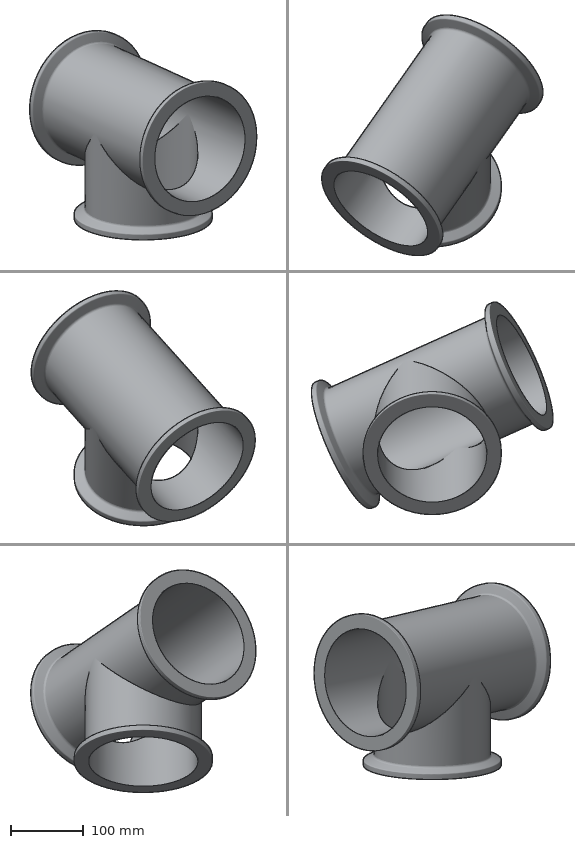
import math

import cadquery as cq

bore_diameter = 150.0
pipe_diameter = 160.0
flange_diameter = 190.0
arm_length = 138.0
rim_corner_height = 8.0
cone_angle = 20.0
rim_round = 2.0
neck_round = 3.0
face_edge_round = 0.5

pipe_radius = pipe_diameter / 2
flange_radius = flange_diameter / 2
cone_height = (flange_radius - pipe_radius) * math.tan(math.radians(cone_angle))
rim_corner = arm_length - rim_corner_height
neck_corner = rim_corner - cone_height

LEFT = cq.Vector(-1, 0, 0)
RIGHT = cq.Vector(1, 0, 0)
DOWN = cq.Vector(0, 0, -1)
ARM_DIRECTIONS = (LEFT, RIGHT, DOWN)
ORIGIN = cq.Vector(0, 0, 0)
SELECTION_MARGIN = 0.1


def cylinder(diameter, start, direction, length):
    return cq.Workplane(cq.Solid.makeCylinder(diameter / 2, length, start, direction))


def circle_at(radius, height):
    """Selector for the circular edge of this radius at this height on the Z axis."""
    reach = radius + SELECTION_MARGIN
    return cq.selectors.BoxSelector(
        (-reach, -reach, height - SELECTION_MARGIN),
        (reach, reach, height + SELECTION_MARGIN),
        boundingbox=True,
    )


def flange(direction):
    """Solid clamp flange at the end of one arm, its conical back blended into the pipe."""
    neck_start = neck_corner - neck_round
    outline = (
        cq.Workplane("XZ")
        .moveTo(0, neck_start)
        .lineTo(pipe_radius, neck_start)
        .lineTo(pipe_radius, neck_corner)
        .lineTo(flange_radius, rim_corner)
        .lineTo(flange_radius, arm_length)
        .lineTo(0, arm_length)
        .close()
    )
    body = outline.revolve(360, (0, 0, 0), (0, 1, 0))
    body = body.edges(circle_at(flange_radius, rim_corner)).fillet(rim_round)
    body = body.edges(circle_at(pipe_radius, neck_corner)).fillet(neck_round)
    body = body.edges(circle_at(flange_radius, arm_length)).fillet(face_edge_round)
    arm_plane = cq.Plane(origin=(0, 0, 0), xDir=(0, 1, 0), normal=direction.toTuple())
    return cq.Workplane(body.val().moved(cq.Location(arm_plane)))


def run_and_branch(diameter):
    """Straight run along X joined by a branch of the same diameter from below."""
    run = cylinder(diameter, LEFT * arm_length, RIGHT, 2 * arm_length)
    branch = cylinder(diameter, ORIGIN, DOWN, arm_length)
    return run.union(branch)


tee = run_and_branch(pipe_diameter)
for arm_direction in ARM_DIRECTIONS:
    tee = tee.union(flange(arm_direction))

result = tee.cut(run_and_branch(bore_diameter))